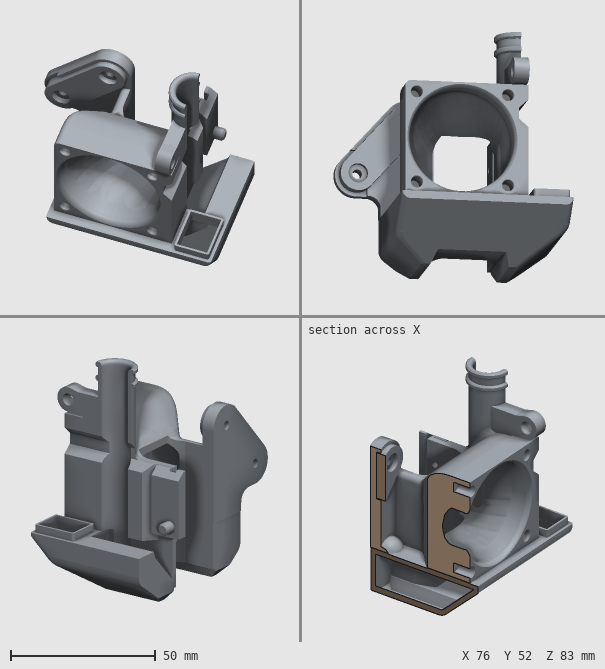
import cadquery as cq
import math


FAN_HALF = 20.0
SPLIT_X = 23.1
BASE_TOP = -FAN_HALF
PLATE_BACK = 43.0
PICK_MARGIN = 0.5

SLOT_LEFT = -5.4
SLOT_RIGHT = 16.4
SLOT_FRONT = 25.3
SLOT_FRONT_LEFT = -2.8
SLOT_FRONT_RIGHT = 14.3
SLOT_BEND = (0.55, 29.1)
SLOT_STRAIGHT = 31.0

TUBE_Y = 21.4
TUBE_RADIUS = 7.1
TUBE_BORE = 5.6
TUBE_TOP = 42.0

BLOCK_DEPTH = 8.0
NECK_Y = 29.0
NECK_TOP = 7.8
NECK_LEFT = -8.7
BODY_EDGE_RADIUS = 2.0
SHOULDER_SIDE_POINTS = [(-17.6, 17.6), (-13.7, 21.8), (-9.9, 25.2)]
SHOULDER_TOP_POINTS = [(15.2, 18.7), (21.5, 13.6), (24.7, 10.4)]
WALL_RIGHT = 18.7
WALL_BEVEL_REAR = 36.9
WALL_BEVEL_FRONT = 33.0

FAN_BORE_RADIUS = 36.8 / 2
FAN_MOUTH_RADIUS = 38.7 / 2
FAN_MOUTH_DEPTH = 2.6
FAN_BORE_DEPTH = BLOCK_DEPTH
FAN_SCREW_PITCH = 32.0
FAN_SCREW_DIAMETER = 4.0
FAN_SCREW_MOUTH = 4.4
FAN_SCREW_DEPTH = 7.0

PASSAGE_FLOOR = -18.0
THROAT_Y = 19.0
THROAT_LEFT = -13.2
THROAT_RIGHT = 16.6
THROAT_TOP = 11.2
THROAT_CORNER = 10.0
OUTLET_TOP = 3.8
OUTLET_CORNER = 3.0

RING_RADIUS = 8.1
RING_HEIGHT = 2.1
RING_EDGE = 0.5
RING_PITCH = 5.0
RING_COUNT = 2
TUBE_LIP_RADIUS = 1.5
TUBE_FOOT_RADIUS = 2.0

NOTCH_FLOOR = 19.9
NOTCH_OUTER = (5.1, 14.8)
NOTCH_INNER = (7.9, 11.9)

LUG_LEFT = 17.8
LUG_BACK = 16.6
LUG_TOP = 28.9
LUG_UNDERSIDE = 20.4
LUG_EYE = (1.5, 25.4)
LUG_EYE_RADIUS = 4.5
LUG_HOLE = 4.4
LUG_HOLE_MOUTH = 5.0

WALL_HOLE = (39.7, -1.3)
WALL_HOLE_DIAMETER = 2.4

ARM_LOW = (-30.0, -5.0)
ARM_HIGH = (-12.9, 14.0)
PLATE_RADIUS = 7.5
PLATE_FRONT = 38.2
PLATE_LEFT = -21.75
PLATE_CORNER = 4.5
ARM_RADIUS = 6.1
ARM_CLEARANCE = 0.1
ARM_FRONT = 36.2
RECESS_FLOOR = 40.1
RIM_OPEN_RIGHT = -26.4
RIM_OPEN_TOP = 3.6
SCREW_DIAMETER = 3.3
SCREW_HEAD = 6.8
SCREW_HEAD_DEPTH = 2.0
DOME_CENTRE = (-12.7, PLATE_FRONT, -21.8)
DOME_RADIUS = 5.6

BASE_LEFT = PLATE_LEFT
BASE_RIGHT = 38.53
BASE_FRONT = -3.5
BASE_BACK = 42.7
BASE_BOTTOM = -41.0
BASE_WALL = 2.0
BASE_SIDE_RADIUS = 4.5
BASE_SLOPE_RADIUS = 2.5
BASE_CORNER_RADIUS = 0.9
BASE_LEFT_SHOULDER = -33.3
BASE_RIGHT_SHOULDER = -29.3
FOOT_LEFT = (-11.4, -8.3)
FOOT_RIGHT = (19.3, 22.7)
ARCH_LEFT = -6.4
ARCH_RIGHT = 17.5
ARCH_TOP = -36.8
FRONT_LIP = -22.7
SLOPE_FOOT_Y = 16.2
BACK_BEVEL_Y = 39.9
BACK_BEVEL_Z = -37.9

INLET_LEFT = 24.75
INLET_RIGHT = 37.4
INLET_FRONT = -2.4
INLET_BACK = 14.0
INLET_RIM = 0.8
INLET_HEIGHT = 2.85
INLET_CORNER = 0.8

RAMP_FRONT = 15.8
RAMP_RIGHT = 29.7
RAMP_STEEP = (28.8, -22.5)
RAMP_ANGLE = 47.0

CATCH_LEFT = 18.9
CATCH_FRONT = 37.0
CATCH_BACK = 48.45
CATCH_BOTTOM = -16.3
GROOVE_FLOOR = 20.8
GROOVE_FRONT = 42.9
GROOVE_BACK = 45.6
PIN_Y = 44.6
PIN_Z = -12.4
PIN_DIAMETER = 4.4
PIN_LENGTH = 4.0
PIN_CHAMFER = 0.7


def box(x, y, z):
    """Box between pairs of limits."""
    return (
        cq.Workplane("XY")
        .box(x[1] - x[0], y[1] - y[0], z[1] - z[0], centered=False)
        .translate((x[0], y[0], z[0]))
    )


def depth_plane(y):
    """Workplane at depth y whose axes are X and Z and whose normal points to -Y."""
    return cq.Workplane("XZ", origin=(0, y, 0))


def upright_cylinder(radius, bottom, top):
    """Cylinder on the tube axis."""
    return (
        cq.Workplane("XY", origin=(SPLIT_X, TUBE_Y, bottom))
        .circle(radius)
        .extrude(top - bottom)
    )


def hot_end_slot(margin, front_margin):
    """Space of the hot-end slot, grown by the margins, over the full height of the part."""
    left = SLOT_LEFT - margin
    right = SLOT_RIGHT + margin
    inset, bend_y = SLOT_BEND
    rear = PLATE_BACK + BASE_WALL
    return (
        cq.Workplane("XY", origin=(0, 0, BASE_BOTTOM))
        .moveTo(left, rear)
        .lineTo(left, SLOT_STRAIGHT)
        .threePointArc((left + inset, bend_y), (SLOT_FRONT_LEFT - margin, SLOT_FRONT - front_margin))
        .lineTo(SLOT_FRONT_RIGHT + margin, SLOT_FRONT - front_margin)
        .threePointArc((right - inset, bend_y), (right, SLOT_STRAIGHT))
        .lineTo(right, rear)
        .close()
        .extrude(TUBE_TOP - BASE_BOTTOM)
    )


def cable_notch():
    """Trapezoid notch in the split face, running the full depth."""
    rear = CATCH_BACK + BASE_WALL
    return (
        depth_plane(rear)
        .polyline([
            (SPLIT_X, NOTCH_OUTER[0]),
            (NOTCH_FLOOR, NOTCH_INNER[0]),
            (NOTCH_FLOOR, NOTCH_INNER[1]),
            (SPLIT_X, NOTCH_OUTER[1]),
        ])
        .close()
        .extrude(rear)
    )


def slotted_bar(radius, rear, front):
    """Bar with round ends about the two arm screws."""
    run = ARM_HIGH[0] - ARM_LOW[0]
    rise = ARM_HIGH[1] - ARM_LOW[1]
    middle = ((ARM_LOW[0] + ARM_HIGH[0]) / 2, (ARM_LOW[1] + ARM_HIGH[1]) / 2)
    length = math.hypot(run, rise) + 2 * radius
    return (
        depth_plane(rear)
        .center(*middle)
        .slot2D(length, 2 * radius, math.degrees(math.atan2(rise, run)))
        .extrude(rear - front)
    )


def arm_screw_holes(diameter, rear, front):
    """Cylinders on the axes of the two arm screws."""
    return (
        depth_plane(rear)
        .pushPoints([ARM_LOW, ARM_HIGH])
        .circle(diameter / 2)
        .extrude(rear - front)
    )


def shroud_outside():
    """Fan block that sweeps inwards and downwards to the rear walls."""
    plan = (
        cq.Workplane("XY", origin=(0, 0, BASE_TOP))
        .moveTo(-FAN_HALF, 0)
        .lineTo(-FAN_HALF, BLOCK_DEPTH)
        .spline(
            SHOULDER_SIDE_POINTS + [(NECK_LEFT, NECK_Y)],
            tangents=[(0, 1), (0, 1)],
            includeCurrent=True,
        )
        .lineTo(NECK_LEFT, PLATE_BACK)
        .lineTo(WALL_RIGHT, PLATE_BACK)
        .lineTo(WALL_RIGHT, WALL_BEVEL_REAR)
        .lineTo(SPLIT_X, WALL_BEVEL_FRONT)
        .lineTo(SPLIT_X, 0)
        .close()
        .extrude(2 * FAN_HALF)
    )
    profile = (
        cq.Workplane("YZ", origin=(-2 * FAN_HALF, 0, 0))
        .moveTo(0, BASE_TOP)
        .lineTo(0, FAN_HALF)
        .lineTo(BLOCK_DEPTH, FAN_HALF)
        .spline(
            SHOULDER_TOP_POINTS + [(NECK_Y, NECK_TOP)],
            tangents=[(1, 0), (1, 0)],
            includeCurrent=True,
        )
        .lineTo(PLATE_BACK, NECK_TOP)
        .lineTo(PLATE_BACK, BASE_TOP)
        .close()
        .extrude(4 * FAN_HALF)
    )
    body = plan.intersect(profile)
    top_left = cq.selectors.BoxSelector(
        (-FAN_HALF - PICK_MARGIN, -PICK_MARGIN, 0),
        (NECK_LEFT + PICK_MARGIN, PLATE_BACK - PICK_MARGIN, FAN_HALF + PICK_MARGIN),
    )
    edges = body.edges(top_left).edges("not |Z").edges("not |X")
    return edges.fillet(BODY_EDGE_RADIUS)


def passage_section(left, right, top, corner, y):
    """Rounded rectangle standing on the passage floor, placed at depth y behind the bore."""
    centre = cq.Vector((left + right) / 2, (top + PASSAGE_FLOOR) / 2, FAN_BORE_DEPTH - y)
    outline = cq.Sketch().rect(right - left, top - PASSAGE_FLOOR).vertices().fillet(corner)
    return outline.moved(cq.Location(centre))


def fan_passage():
    """Rounded fan mouth, then a loft from the round bore to the rear outlet."""
    mouth_drop = FAN_MOUTH_RADIUS - FAN_BORE_RADIUS
    diagonal = math.sqrt(0.5)
    mouth = (
        cq.Workplane("XY")
        .moveTo(0, 0)
        .lineTo(FAN_MOUTH_RADIUS, 0)
        .threePointArc(
            (FAN_MOUTH_RADIUS - diagonal * mouth_drop, (1 - diagonal) * FAN_MOUTH_DEPTH),
            (FAN_BORE_RADIUS, FAN_MOUTH_DEPTH),
        )
        .lineTo(FAN_BORE_RADIUS, FAN_BORE_DEPTH)
        .lineTo(0, FAN_BORE_DEPTH)
        .close()
        .revolve(360, (0, 0, 0), (0, 1, 0))
    )
    bore = cq.Sketch().circle(FAN_BORE_RADIUS)
    throat = passage_section(THROAT_LEFT, THROAT_RIGHT, THROAT_TOP, THROAT_CORNER, THROAT_Y)
    outlet = passage_section(SLOT_LEFT, SLOT_RIGHT, OUTLET_TOP, OUTLET_CORNER, NECK_Y)
    funnel = depth_plane(FAN_BORE_DEPTH).placeSketch(bore, throat, outlet).loft()
    return mouth.union(funnel)


def fan_screw_holes():
    """Four blind holes with slightly flared mouths."""
    half = FAN_SCREW_PITCH / 2
    flare = (FAN_SCREW_MOUTH - FAN_SCREW_DIAMETER) / 2
    corners = [(x, z) for x in (-half, half) for z in (-half, half)]
    return (
        depth_plane(FAN_SCREW_DEPTH)
        .pushPoints(corners)
        .circle(FAN_SCREW_DIAMETER / 2)
        .extrude(FAN_SCREW_DEPTH)
        .union(
            depth_plane(flare)
            .pushPoints(corners)
            .circle(FAN_SCREW_DIAMETER / 2)
            .extrude(flare, taper=-45)
        )
    )


def hose_tube():
    """Full round tube with hose rings and a rounded lip; its bore is open at the bottom."""
    tube = upright_cylinder(TUBE_RADIUS, BASE_TOP, TUBE_TOP)
    for index in range(RING_COUNT):
        top = TUBE_TOP - index * RING_PITCH
        ring = upright_cylinder(RING_RADIUS, top - RING_HEIGHT, top).edges().chamfer(RING_EDGE)
        tube = tube.union(ring)
    tube = tube.cut(upright_cylinder(TUBE_BORE, BASE_TOP, TUBE_TOP))
    return tube.faces(">Z").edges(cq.selectors.RadiusNthSelector(0)).fillet(TUBE_LIP_RADIUS)


def lug():
    """Eye on an arm that reaches forward over the fan block from the tube."""
    width = SPLIT_X - LUG_LEFT
    side = cq.Workplane("YZ", origin=(LUG_LEFT, 0, 0))
    eye_y, eye_z = LUG_EYE
    arm = (
        side
        .polyline([
            (LUG_BACK, NECK_TOP + LUG_EYE_RADIUS),
            (LUG_BACK, LUG_TOP),
            (eye_y + LUG_EYE_RADIUS, LUG_TOP),
            (eye_y, eye_z + LUG_EYE_RADIUS),
            (eye_y, eye_z - LUG_EYE_RADIUS),
            (BLOCK_DEPTH, LUG_UNDERSIDE),
            (BLOCK_DEPTH, FAN_HALF - BODY_EDGE_RADIUS),
        ])
        .close()
        .extrude(width)
    )
    eye = side.center(eye_y, eye_z).circle(LUG_EYE_RADIUS).extrude(width)
    hole = side.center(eye_y, eye_z).circle(LUG_HOLE / 2).extrude(width)
    flare = (LUG_HOLE_MOUTH - LUG_HOLE) / 2
    mouth = side.center(eye_y, eye_z).circle(LUG_HOLE_MOUTH / 2).extrude(flare, taper=45)
    return arm.union(eye).cut(hole).cut(mouth)


def mounting_plate():
    """Rear plate with a recess for the clamp arm."""
    foot = (
        depth_plane(PLATE_BACK)
        .moveTo(ARM_LOW[0], ARM_LOW[1] - PLATE_RADIUS)
        .lineTo(PLATE_LEFT - PLATE_CORNER, ARM_LOW[1] - PLATE_RADIUS)
        .radiusArc((PLATE_LEFT, ARM_LOW[1] - PLATE_RADIUS - PLATE_CORNER), PLATE_CORNER)
        .lineTo(PLATE_LEFT, BASE_TOP)
        .lineTo(SLOT_LEFT, BASE_TOP)
        .lineTo(SLOT_LEFT, ARM_HIGH[1])
        .lineTo(*ARM_HIGH)
        .lineTo(*ARM_LOW)
        .close()
        .extrude(PLATE_BACK - PLATE_FRONT)
    )
    plate = foot.union(slotted_bar(PLATE_RADIUS, PLATE_BACK, PLATE_FRONT))
    recess = slotted_bar(ARM_RADIUS + ARM_CLEARANCE, RECESS_FLOOR, PLATE_FRONT)
    open_end = box(
        (ARM_LOW[0] - PLATE_RADIUS, RIM_OPEN_RIGHT),
        (PLATE_FRONT, RECESS_FLOOR),
        (ARM_LOW[1] - PLATE_RADIUS, RIM_OPEN_TOP),
    )
    plate = plate.cut(recess).cut(open_end)
    return plate.cut(arm_screw_holes(SCREW_DIAMETER, PLATE_BACK, PLATE_FRONT))


def dome():
    """Bulge in the corner between mounting plate and base."""
    ball = cq.Workplane("XY", origin=DOME_CENTRE).sphere(DOME_RADIUS)
    x, y, z = DOME_CENTRE
    keep = box((x - DOME_RADIUS, NECK_LEFT), (y - DOME_RADIUS, y), (BASE_TOP, z + DOME_RADIUS))
    return ball.intersect(keep)


def blend_tube_foot(body):
    """Round the corner where the outside of the tube meets the sloping top of the body."""
    foot = (SPLIT_X - TUBE_RADIUS, TUBE_Y, (FAN_HALF + NECK_TOP) / 2)
    corner = body.edges(cq.selectors.NearestToPointSelector(foot))
    return corner.fillet(TUBE_FOOT_RADIUS)


def make_shroud():
    """Fan shroud with hose tube, lug and mounting plate."""
    body = shroud_outside()
    body = body.cut(fan_passage()).cut(hot_end_slot(0, 0)).cut(fan_screw_holes())
    beyond_split = box(
        (SPLIT_X, SPLIT_X + 2 * RING_RADIUS), (-FAN_HALF, PLATE_BACK), (BASE_TOP, TUBE_TOP)
    )
    body = body.union(hose_tube()).cut(beyond_split)
    body = blend_tube_foot(body).union(lug())
    body = body.cut(upright_cylinder(TUBE_BORE, BASE_TOP, TUBE_TOP - RING_HEIGHT))
    body = body.cut(beyond_split).cut(cable_notch())
    wall_hole = (
        cq.Workplane("YZ", origin=(SLOT_RIGHT, 0, 0))
        .center(*WALL_HOLE)
        .circle(WALL_HOLE_DIAMETER / 2)
        .extrude(WALL_RIGHT - SLOT_RIGHT)
    )
    return body.cut(wall_hole).union(mounting_plate()).union(dome())


def make_arm():
    """Clamp arm in the recess of the mounting plate."""
    arm = slotted_bar(ARM_RADIUS, RECESS_FLOOR, ARM_FRONT)
    arm = arm.cut(arm_screw_holes(SCREW_DIAMETER, RECESS_FLOOR, ARM_FRONT))
    return arm.cut(arm_screw_holes(SCREW_HEAD, ARM_FRONT + SCREW_HEAD_DEPTH, ARM_FRONT))


def base_front_outline():
    """Outline across the base: two feet with an arch between them and sloping sides."""
    return depth_plane(BASE_BACK).polyline([
        (BASE_LEFT, BASE_TOP),
        (BASE_LEFT, BASE_LEFT_SHOULDER),
        (FOOT_LEFT[0], BASE_BOTTOM),
        (FOOT_LEFT[1], BASE_BOTTOM),
        (ARCH_LEFT, ARCH_TOP),
        (ARCH_RIGHT, ARCH_TOP),
        (FOOT_RIGHT[0], BASE_BOTTOM),
        (FOOT_RIGHT[1], BASE_BOTTOM),
        (BASE_RIGHT, BASE_RIGHT_SHOULDER),
        (BASE_RIGHT, BASE_TOP),
    ]).close()


def base_side_outline():
    """Outline along the base: sloping front and a bevel at the lower rear."""
    return cq.Workplane("YZ", origin=(BASE_LEFT, 0, 0)).polyline([
        (BASE_FRONT, BASE_TOP),
        (BASE_FRONT, FRONT_LIP),
        (SLOPE_FOOT_Y, BASE_BOTTOM),
        (BACK_BEVEL_Y, BASE_BOTTOM),
        (BASE_BACK, BACK_BEVEL_Z),
        (BASE_BACK, BASE_TOP),
    ]).close()


def base_outside():
    """Solid outer form of the base with its rounded shoulders and front edges."""
    depth = BASE_BACK - BASE_FRONT
    width = BASE_RIGHT - BASE_LEFT
    across = base_front_outline().extrude(depth)
    shoulders = cq.selectors.BoxSelector(
        (BASE_LEFT - PICK_MARGIN, BASE_FRONT, BASE_BOTTOM + BASE_WALL),
        (BASE_RIGHT + PICK_MARGIN, BASE_BACK, BASE_TOP - BASE_WALL),
    )
    across = across.edges("|Y").edges("<X or >X").edges(shoulders).fillet(BASE_SIDE_RADIUS)
    block = across.intersect(base_side_outline().extrude(width))
    front_sides = cq.selectors.BoxSelector(
        (BASE_LEFT - PICK_MARGIN, BASE_FRONT + PICK_MARGIN, BASE_BOTTOM),
        (BASE_RIGHT + PICK_MARGIN, SLOPE_FOOT_Y, FRONT_LIP - PICK_MARGIN),
    )
    block = block.edges(front_sides).edges("<X or >X").fillet(BASE_SLOPE_RADIUS)
    rounded_plan = box((BASE_LEFT, BASE_RIGHT), (BASE_FRONT, BASE_BACK), (BASE_BOTTOM, BASE_TOP))
    rounded_plan = rounded_plan.faces("<Y").edges("|Z").fillet(BASE_CORNER_RADIUS)
    return block.intersect(rounded_plan)


def ramp_outline(wall):
    """Outline of the rear pocket; a wall thickness lowers and widens it."""
    slope = math.radians(RAMP_ANGLE)
    left = SLOT_RIGHT - wall
    steep_x, steep_z = RAMP_STEEP
    steep_z -= wall / math.cos(slope)
    return depth_plane(BASE_BACK).polyline([
        (left, BASE_TOP),
        (left, steep_z - (steep_x + wall - left) * math.tan(slope)),
        (steep_x + wall, steep_z),
        (RAMP_RIGHT + wall, BASE_TOP),
    ]).close()


def ramp_pocket():
    """Pocket with a ramp below the tube, open at the top and the rear."""
    ramp = ramp_outline(0).extrude(BASE_BACK - RAMP_FRONT)
    beside_wall = box((WALL_RIGHT, RAMP_RIGHT), (RAMP_FRONT, BASE_BACK), (BASE_BOTTOM, BASE_TOP))
    below_tube = upright_cylinder(TUBE_BORE, BASE_BOTTOM, BASE_TOP)
    return ramp.intersect(beside_wall.union(below_tube))


def duct_space():
    """Air space inside the base, around the slot and below the ramp."""
    across = base_front_outline().offset2D(-BASE_WALL, "intersection").extrude(BASE_BACK - BASE_FRONT)
    along = base_side_outline().offset2D(-BASE_WALL, "intersection").extrude(BASE_RIGHT - BASE_LEFT)
    ramp_body = ramp_outline(BASE_WALL).extrude(BASE_BACK - RAMP_FRONT + BASE_WALL)
    return across.intersect(along).cut(hot_end_slot(BASE_WALL, BASE_WALL)).cut(ramp_body)


def inlet_block(inset, bottom):
    """Upright block at the blower inlet, inset from the outside of its rim."""
    x = (INLET_LEFT + inset, INLET_RIGHT - inset)
    y = (INLET_FRONT + inset, INLET_BACK - inset)
    return box(x, y, (bottom, BASE_TOP + INLET_HEIGHT))


def make_base():
    """Hollow duct base with the blower inlet, the hot-end slot and the ramp pocket."""
    rim = inlet_block(0, BASE_TOP).edges("|Z").fillet(INLET_CORNER)
    base = base_outside().union(rim)
    base = base.cut(duct_space()).cut(inlet_block(INLET_RIM, BASE_TOP - BASE_WALL))
    return base.cut(hot_end_slot(0, 0)).cut(ramp_pocket())


def make_catch():
    """Plate with a locating pin, a hooked rear edge and the cable notch in its top."""
    plate = box((CATCH_LEFT, SPLIT_X), (CATCH_FRONT, CATCH_BACK), (CATCH_BOTTOM, NECK_TOP))
    groove = box(
        (CATCH_LEFT, GROOVE_FLOOR), (GROOVE_FRONT, GROOVE_BACK), (CATCH_BOTTOM, NECK_TOP)
    )
    pin = (
        cq.Workplane("YZ", origin=(SPLIT_X, PIN_Y, PIN_Z))
        .circle(PIN_DIAMETER / 2)
        .extrude(PIN_LENGTH)
        .faces(">X")
        .chamfer(PIN_CHAMFER)
    )
    return plate.cut(groove).cut(cable_notch()).union(pin)


shroud = make_shroud().solids()
arm = make_arm().solids()
base = make_base().solids()
catch = make_catch().solids()

result = cq.Compound.makeCompound([shroud.val(), arm.val(), base.val(), catch.val()])